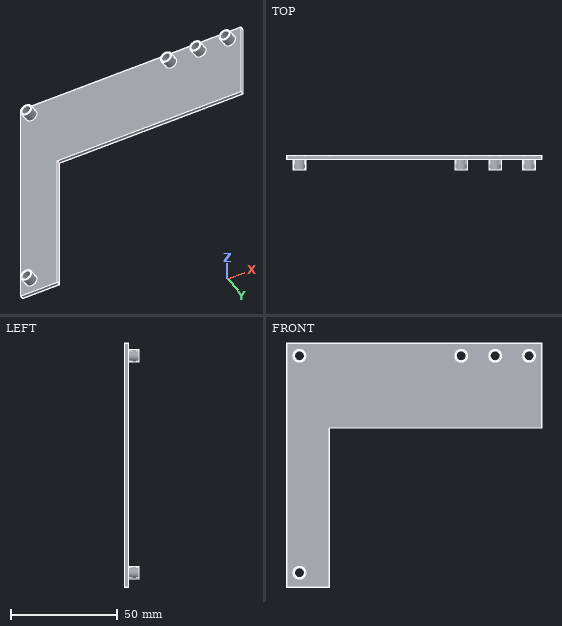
import cadquery as cq

plate_length = 120.0
plate_height = 115.0
plate_thickness = 2.0
upper_arm_height = 40.0
lower_arm_width = 20.0

overall_depth = 7.0
standoff_diameter = 6.0
bore_diameter = 4.7
edge_margin = 6.0
bottom_margin = 7.0
standoff_pitch = 16.0
row_count = 3

top_row_z = plate_height - edge_margin
standoff_centres = [(edge_margin, bottom_margin), (edge_margin, top_row_z)]
for index in range(row_count):
    x = plate_length - edge_margin - index * standoff_pitch
    standoff_centres.append((x, top_row_z))


def make_plate():
    """L-shaped plate with its front face at Y = 0."""
    outline = [
        (0, 0),
        (lower_arm_width, 0),
        (lower_arm_width, plate_height - upper_arm_height),
        (plate_length, plate_height - upper_arm_height),
        (plate_length, plate_height),
        (0, plate_height),
    ]
    return cq.Workplane("XZ").polyline(outline).close().extrude(-plate_thickness)


def make_cylinders(diameter):
    """Cylinders at every standoff, from the plate's back face to the standoff tips."""
    return (
        cq.Workplane("XZ", origin=(0, plate_thickness, 0))
        .pushPoints(standoff_centres)
        .circle(diameter / 2)
        .extrude(overall_depth)
    )


result = make_plate().union(make_cylinders(standoff_diameter)).cut(make_cylinders(bore_diameter))